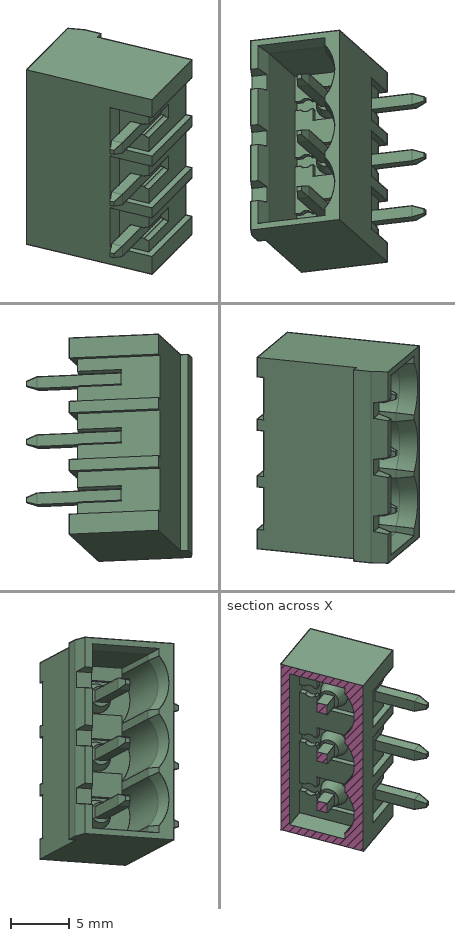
import cadquery as cq


length = 12.0
height = 8.5
width = 17.16
pitch = 5.08
pole_count = 3
pole_centers = [(i - (pole_count - 1) / 2) * pitch for i in range(pole_count)]

ridge_length = 2.99
ridge_rise = 0.67
ramp_length = 1.4
ramp_drop = 0.4

cavity_depth = 8.0
entry_depth = 1.5
entry_draft_y = 0.45
entry_draft_z = 0.27
cavity_bottom = 1.78
cavity_top = 6.97
cavity_half_width = 7.77

pin_height = 3.93
lobe_radius = 3.04
lobe_entry_radius = 3.48

pocket_depth = 0.5
pocket_width = 2.92
pocket_top = 5.34
key_width = 0.8
key_relief_radius = 0.6
key_relief_height = 5.99
collar_radius = 1.27
collar_top_radius = 0.88
collar_height = 1.0

notch_depth = 1.2
notch_mouth_width = 1.8
notch_floor_width = 1.37

recess_start = 7.98
recess_depth = 0.6
recess_slope = 0.62
end_wall = 1.75
rib_width = 1.0

pin_size = 1.01
pin_tip_size = 0.4
pin_point = 1.0
pin_front = 0.74
leg_x = 10.16
leg_length = 4.1

groove_flare_radius = 0.67

pocket_floor = cavity_depth + pocket_depth
back_wall = length - recess_depth
pin_half = pin_size / 2
pin_top = pin_height + pin_half


def block(x_range, y_range, z_range):
    """Box spanning the given ranges."""
    (x0, x1), (y0, y1), (z0, z1) = x_range, y_range, z_range
    return cq.Workplane("XY").box(x1 - x0, y1 - y0, z1 - z0, centered=False).translate((x0, y0, z0))


def section(x, y, z=0):
    """Plane across X, with local axes along Y and Z."""
    return cq.Workplane("YZ", origin=(x, y, z))


def cone(x, z, start_radius, end_radius, depth):
    """Frustum along +X on a pin axis."""
    return (
        section(x, pin_height, z)
        .circle(start_radius)
        .workplane(offset=depth)
        .circle(end_radius)
        .loft(ruled=True)
    )


def housing():
    """Outer block with the ramped latch ridge."""
    main_height = height - ridge_rise
    outline = [
        (0, 0),
        (length, 0),
        (length, main_height),
        (ridge_length, main_height),
        (ridge_length, height),
        (ramp_length, height),
        (0, height - ramp_drop),
    ]
    return cq.Workplane("XY").polyline(outline).close().extrude(width / 2, both=True)


def cavity():
    """Rectangular plug space that widens toward the opening."""
    size_y = cavity_top - cavity_bottom
    size_z = 2 * cavity_half_width
    mid_y = (cavity_top + cavity_bottom) / 2
    entry = (
        section(0, mid_y)
        .rect(size_y + 2 * entry_draft_y, size_z + 2 * entry_draft_z)
        .workplane(offset=entry_depth)
        .rect(size_y, size_z)
        .loft(ruled=True)
    )
    return entry.union(section(entry_depth, mid_y).rect(size_y, size_z).extrude(cavity_depth - entry_depth))


def lobe(z):
    """Round scallop in the lower cavity wall, coaxial with the pin."""
    entry = cone(0, z, lobe_entry_radius, lobe_radius, entry_depth)
    bore = section(entry_depth, pin_height, z).circle(lobe_radius).extrude(pocket_floor - entry_depth)
    below_wall = block((0, pocket_floor), (0, cavity_bottom), (z - pitch / 2, z + pitch / 2))
    return entry.union(bore).intersect(below_wall)


def pocket(z):
    """Deeper floor around a pin, with a keyway up to the upper wall."""
    depth_range = (cavity_depth, pocket_floor)
    body = block(depth_range, (cavity_bottom, pocket_top), (z - pocket_width / 2, z + pocket_width / 2))
    key = block(depth_range, (pocket_top, cavity_top), (z - key_width / 2, z + key_width / 2))
    relief = section(cavity_depth, key_relief_height, z).circle(key_relief_radius).extrude(pocket_depth)
    return body.union(key).union(relief)


def notch(z):
    """Coding notch that narrows from its mouth to its floor."""
    outline = [
        (0, z - notch_mouth_width / 2),
        (notch_depth, z - notch_floor_width / 2),
        (notch_depth, z + notch_floor_width / 2),
        (0, z + notch_mouth_width / 2),
    ]
    upper_wall = cq.Workplane("XZ", origin=(0, cavity_top, 0))
    return upper_wall.polyline(outline).close().extrude(cavity_top - height)


def recess(z):
    """Recess on the board face with a sloped front, opening into a full-height recess in the back."""
    z_low = max(z - (pitch - rib_width) / 2, end_wall - width / 2)
    z_high = min(z + (pitch - rib_width) / 2, width / 2 - end_wall)
    outline = [
        (recess_start, 0),
        (recess_start + recess_slope, recess_depth),
        (back_wall, recess_depth),
        (back_wall, height),
        (length, height),
        (length, 0),
    ]
    return cq.Workplane("XY", origin=(0, 0, z_low)).polyline(outline).close().extrude(z_high - z_low)


def groove(z):
    """Pin insertion groove, flared where it leaves the back wall."""
    slot = block((leg_x, back_wall), (0, pin_top), (z - pin_half, z + pin_half))
    flare = cq.Workplane("XZ", origin=(back_wall, 0, z)).circle(groove_flare_radius).extrude(-pin_top)
    return slot.union(flare)


def bar(start_plane, straight_length):
    """Square bar from the plane along its normal, ending in a pyramid point."""
    straight = start_plane.rect(pin_size, pin_size).extrude(straight_length)
    point = (
        start_plane.workplane(offset=straight_length)
        .rect(pin_size, pin_size)
        .workplane(offset=pin_point)
        .rect(pin_tip_size, pin_tip_size)
        .loft(ruled=True)
    )
    return straight.union(point)


def pin(z):
    """Right-angle pin: contact toward -X, solder leg toward -Y."""
    elbow_x = leg_x + pin_half
    contact_plane = cq.Workplane(cq.Plane(origin=(elbow_x, pin_height, z), xDir=(0, 1, 0), normal=(-1, 0, 0)))
    contact = bar(contact_plane, elbow_x - pin_front - pin_point)
    leg = bar(cq.Workplane("XZ", origin=(leg_x, pin_top, z)), pin_top + leg_length - pin_point)
    return contact.union(leg)


result = housing().cut(cavity())
for pole_z in pole_centers:
    for hollow in (lobe, pocket, notch, recess, groove):
        result = result.cut(hollow(pole_z))
for pole_z in pole_centers:
    collar = cone(pocket_floor, pole_z, collar_radius, collar_top_radius, -collar_height)
    result = result.union(collar).union(pin(pole_z))